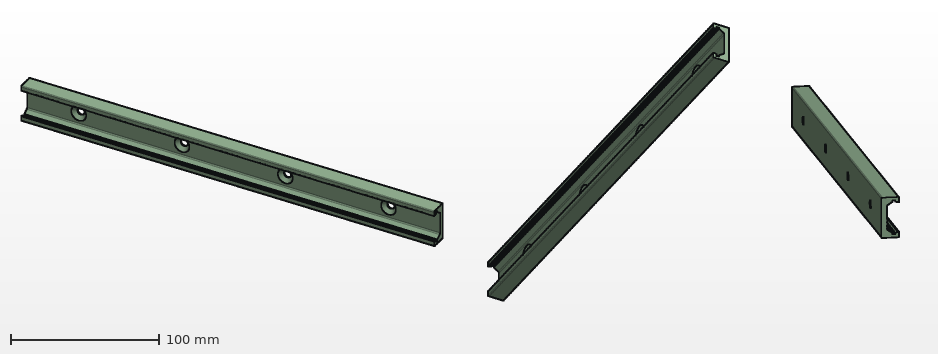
import cadquery as cq

length = 320.0
depth = 12.0
height = 28.0

web_thickness = 4.0
web_half_opening = 8.3
web_corner_radius = 1.3
lip_half_opening = 10.2
lip_land = 1.0
flank_half_height = 11.0
relief_half_height = 12.0
relief_width = 2.0
outer_edge_radius = 0.5
relief_centre = 3.5

hole_count = 4
hole_pitch = length / hole_count
hole_diameter = 5.5
countersink_diameter = 11.5
countersink_angle = 90

front_y = -depth / 2
back_y = depth / 2
web_y = back_y - web_thickness
relief_y = front_y + relief_centre


def make_rail():
    """Extrude the C-shaped section with a ball race and relief in each flange."""
    upper_half = [
        (back_y, height / 2),
        (front_y, height / 2),
        (front_y, lip_half_opening),
        (front_y + lip_land, lip_half_opening),
        (relief_y - relief_width / 2, flank_half_height),
        (relief_y - relief_width / 2, relief_half_height),
        (relief_y + relief_width / 2, relief_half_height),
        (relief_y + relief_width / 2, flank_half_height),
        (web_y, web_half_opening),
    ]
    lower_half = [(y, -z) for y, z in reversed(upper_half)]
    section = cq.Workplane("YZ").polyline(upper_half + lower_half).close()
    rail = section.extrude(length / 2, both=True)
    rail = rail.faces("<Z or >Z").edges("|X").fillet(outer_edge_radius)
    web_face = rail.faces(cq.selectors.NearestToPointSelector((0, web_y, 0)))
    return web_face.edges("|X").fillet(web_corner_radius)


def add_mounting_holes(rail):
    """Sink a row of countersunk holes into the channel side of the web."""
    return (
        rail.copyWorkplane(cq.Workplane("XZ", origin=(0, web_y, 0)))
        .rarray(hole_pitch, 3.2, hole_count, 1)
        .cskHole(hole_diameter, countersink_diameter, countersink_angle)
    )


result = add_mounting_holes(make_rail())